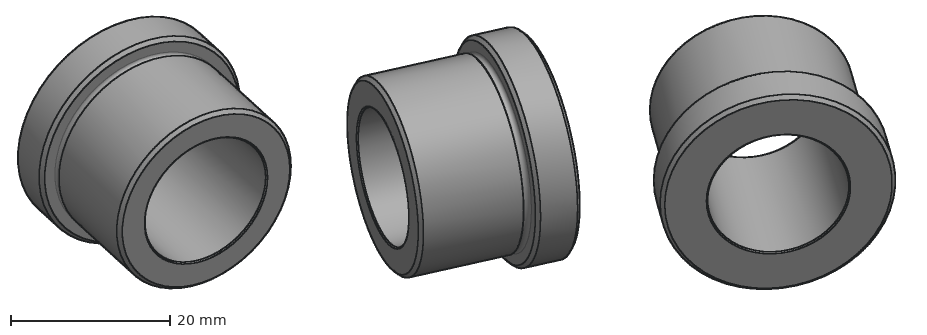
import cadquery as cq

length = 21.0
flange_diameter = 30.0
flange_width = 6.0
body_diameter = 26.0
bore_diameter = 18.0
edge_chamfer = 0.5
bore_chamfer = 0.18
relief_width = 1.0

flange_radius = flange_diameter / 2
body_radius = body_diameter / 2
bore_radius = bore_diameter / 2
relief_radius = relief_width / 2
relief_end = flange_width + relief_width

half_section = (
    cq.Workplane("XY")
    .moveTo(0, bore_radius + bore_chamfer)
    .lineTo(0, flange_radius - edge_chamfer)
    .lineTo(edge_chamfer, flange_radius)
    .lineTo(flange_width - edge_chamfer, flange_radius)
    .lineTo(flange_width, flange_radius - edge_chamfer)
    .lineTo(flange_width, body_radius)
    .threePointArc(
        (flange_width + relief_radius, body_radius - relief_radius),
        (relief_end, body_radius),
    )
    .lineTo(length - edge_chamfer, body_radius)
    .lineTo(length, body_radius - edge_chamfer)
    .lineTo(length, bore_radius + bore_chamfer)
    .lineTo(length - bore_chamfer, bore_radius)
    .lineTo(bore_chamfer, bore_radius)
    .close()
)

result = half_section.revolve(360, (0, 0, 0), (1, 0, 0))